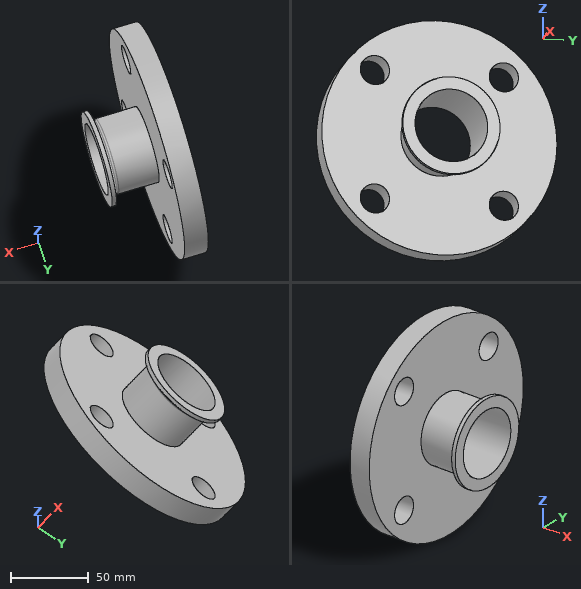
import cadquery as cq
import math

flange_diameter = 155.0
flange_thickness = 16.1
bolt_count = 4
bolt_hole_diameter = 19.0
first_bolt_angle = 45.0
bolt_offset = 42.5
bolt_circle_radius = bolt_offset * math.sqrt(2)

total_length = 50.0
bore_diameter = 47.7
tube_diameter = 50.8
ferrule_diameter = 64.0
rim_thickness = 3.0
taper_angle = 20.0
root_fillet_radius = 1.9

tube_radius = tube_diameter / 2
ferrule_radius = ferrule_diameter / 2
rim_start = total_length - rim_thickness
taper_length = (ferrule_radius - tube_radius) * math.tan(math.radians(taper_angle))
taper_start = rim_start - taper_length


def make_flange():
    """Disc along +X with its bolt holes straddling the Y and Z axes."""
    return (
        cq.Workplane("YZ")
        .circle(flange_diameter / 2)
        .extrude(flange_thickness)
        .faces(">X")
        .workplane()
        .polarArray(bolt_circle_radius, first_bolt_angle, 360, bolt_count)
        .hole(bolt_hole_diameter)
    )


def make_ferrule_stub():
    """Tube ending in a tapered clamp rim, revolved about the X axis."""
    turn = math.radians(90 - taper_angle)
    tangent_length = root_fillet_radius * math.tan(turn / 2)
    arc_start_x = taper_start - tangent_length
    arc_center_r = tube_radius + root_fillet_radius

    def arc_point(angle):
        return (
            arc_start_x + root_fillet_radius * math.sin(angle),
            arc_center_r - root_fillet_radius * math.cos(angle),
        )

    return (
        cq.Workplane("XY")
        .moveTo(0, 0)
        .lineTo(0, tube_radius)
        .lineTo(arc_start_x, tube_radius)
        .threePointArc(arc_point(turn / 2), arc_point(turn))
        .lineTo(rim_start, ferrule_radius)
        .lineTo(total_length, ferrule_radius)
        .lineTo(total_length, 0)
        .close()
        .revolve(360, (0, 0, 0), (1, 0, 0))
    )


bore = cq.Workplane("YZ").circle(bore_diameter / 2).extrude(total_length)

result = make_flange().union(make_ferrule_stub()).cut(bore)
result = result.translate((-total_length / 2, 0, 0))